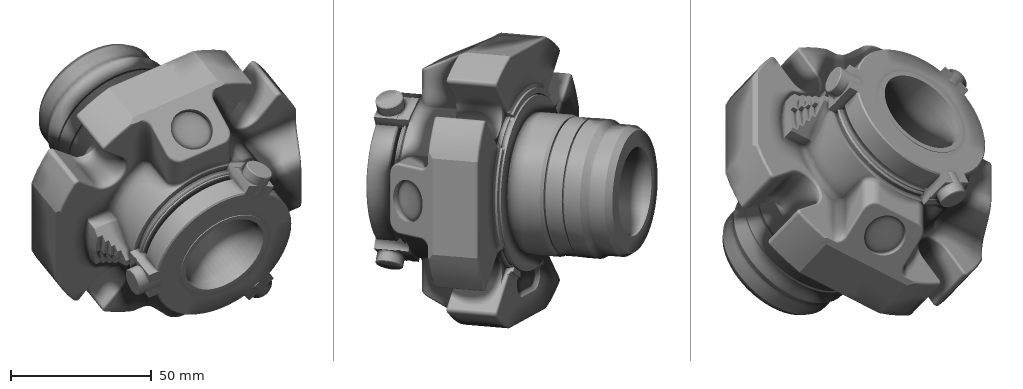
import cadquery as cq
import math

total_length = 92.0
bore_diameter = 32.0

edge_margin = 0.5

stem_tip_radius = 22.0
stem_tip_chamfer = 2.4
stem_nose_diameter = 47.07
stem_land_diameter_1 = 49.81
stem_land_diameter_2 = 49.61
stem_root_diameter = 50.75
stem_groove_diameter = 47.73
nose_end_x = 8.6
land_start_x = 9.4
land_full_x = 11.2
groove_1_x = 17.4
groove_2_x = 24.4
groove_width = 0.8
root_chamfer_length = 1.2

flange_front_x = 40.6
flange_back_x = 60.0
side_count = 4
across_flats = 99.06
flat_half_width = 17.5
flange_edge_radius = 0.9
flange_tip_radius = 1.5
back_slope_angle = 25.0
back_slope_start_x = 57.9

slot_count = 4
first_slot_angle = 45
slot_width = 14.2
slot_bottom_radius = 33.33
slot_relief_depth = 1.7
slot_relief_radius = 32.65

disk_diameter = 63.0
disk_front_x = 38.8
disk_gap = 0.5
ring_radius = 34.0
ring_base_radius = 35.2
ring_front_x = 39.3
ring_step_x = 40.1
recess_half_width = 10.2
recess_bottom_radius = 39.4
recess_corner_radius = 4.4
recess_depth = 1.7
recess_chamfer = 1.0
flare_angle = 45
recess_floor_fillet = 0.7

body_diameter = 60.15
body_end_x = 78.4
body_stock_x = 82.0
body_fillet_radius = 2.2

boss_half_width = 12.9
boss_end_x = 77.8
boss_corner_radius = 4.6
boss_root_radius = 3.2
boss_edge_radius = 0.9
boss_foot_fillet = 1.0
boss_angles = (0, 180, 270)
boss_base_z = 20.0
port_diameter = 15.34
port_center_x = 69.3
port_depth = 2.75

arrow_angle = 90
arrow_half_width = 9.0
arrow_shoulder_x = 64.9
arrow_tip_half_width = 1.2
arrow_base_radius = 25.0
arrow_foot_fillet = 1.3
arrow_levels = (38.7, 36.65, 35.1, 33.75, 32.3)
arrow_step_ends = (65.95, 67.65, 69.9, 71.9, 74.1)

drive_ring_diameter = 56.16
snap_ring_diameter = 57.68
snap_ring_start_x = 79.7
snap_ring_end_x = 80.8
snap_ring_chamfer = 0.4
collar_end_x = 81.4
neck_radius = 16.3
drive_ring_start_x = 83.0
drive_ring_end_x = 91.7
drive_ring_chamfer = 0.5
sleeve_diameter = 35.76

clip_count = 3
clip_width = 11.7
clip_inner_radius = 26.5
clip_outer_radius = 31.0
clip_cap_diameter = 10.0
clip_cap_radius = 35.0
clip_cap_chamfer = 0.3
clip_groove_depth = 0.2

flat_distance = across_flats / 2
body_radius = body_diameter / 2
corner_radius = math.hypot(flat_distance, flat_half_width)
slot_center_radius = slot_bottom_radius + slot_width / 2
slot_angles = [first_slot_angle + index * 360 / slot_count for index in range(slot_count)]
slot_floor_x = flange_front_x + slot_relief_depth
slope = math.tan(math.radians(back_slope_angle))


def cylinder(diameter, start_x, end_x):
    """Cylinder on the part axis."""
    return cq.Workplane("YZ", origin=(start_x, 0, 0)).circle(diameter / 2).extrude(end_x - start_x)


def about_axis(shape, angle):
    """Turn a shape about the part axis."""
    return shape.rotate((0, 0, 0), (1, 0, 0), angle)


def make_stem():
    """Stepped stem with a chamfered tip and two narrow grooves."""
    root_radius = stem_root_diameter / 2
    groove_radius = stem_groove_diameter / 2
    nose_radius = stem_nose_diameter / 2
    land_1_radius = stem_land_diameter_1 / 2
    land_2_radius = stem_land_diameter_2 / 2
    root_start_x = groove_2_x + groove_width
    profile = [
        (0, 0),
        (0, stem_tip_radius),
        (stem_tip_chamfer, nose_radius),
        (nose_end_x, nose_radius),
        (land_start_x, groove_radius),
        (land_full_x, land_1_radius),
        (groove_1_x, land_1_radius),
        (groove_1_x, groove_radius),
        (groove_1_x + groove_width, groove_radius),
        (groove_1_x + groove_width, land_2_radius),
        (groove_2_x, land_2_radius),
        (groove_2_x, groove_radius),
        (root_start_x, groove_radius),
        (root_start_x, land_2_radius),
        (root_start_x + root_chamfer_length, root_radius),
        (flange_front_x, root_radius),
        (flange_front_x, 0),
    ]
    return cq.Workplane("XY").polyline(profile).close().revolve(360, (0, 0, 0), (1, 0, 0))


def slot_box(start_x, end_x, inner_radius):
    """Block of slot width that runs outward from a radius along +Y."""
    return cq.Workplane("XY").box(
        end_x - start_x, corner_radius, slot_width, centered=(False, False, True)
    ).translate((start_x, inner_radius, 0))


def cut_slots(shape):
    """Cut the round-bottomed bolt slots, their shallow front reliefs and the gaps in the raised ring."""
    bottom = cylinder(slot_width, disk_front_x, flange_back_x).translate((0, slot_center_radius, 0))
    slot = slot_box(disk_front_x, flange_back_x, slot_center_radius).union(bottom)
    relief = slot_box(disk_front_x, slot_floor_x, 0).cut(
        cylinder(2 * slot_relief_radius, disk_front_x, slot_floor_x)
    )
    ring_gap = slot_box(disk_front_x, flange_front_x, disk_diameter / 2)
    slot = slot.union(relief).union(ring_gap)
    for angle in slot_angles:
        shape = shape.cut(about_axis(slot, angle))
    return shape


def slope_tool():
    """Region above the sloped plane that trims the +Z side behind the flange."""
    end_x = total_length
    return (
        cq.Workplane("XZ")
        .moveTo(back_slope_start_x, flat_distance)
        .lineTo(end_x, flat_distance - slope * (end_x - back_slope_start_x))
        .lineTo(end_x, corner_radius)
        .lineTo(back_slope_start_x, corner_radius)
        .close()
        .extrude(corner_radius, both=True)
    )


def make_flange():
    """Slotted flange with four flats, rounded tips and edges, and a sloped back rim."""
    thickness = flange_back_x - flange_front_x
    flange = cylinder(2 * corner_radius, flange_front_x, flange_back_x)
    flange = flange.intersect(
        cq.Workplane("XY")
        .box(thickness, across_flats, across_flats, centered=(False, True, True))
        .translate((flange_front_x, 0, 0))
    )
    flange = cut_slots(flange)
    tip_reach = math.sqrt(corner_radius**2 - (slot_width / 2) ** 2)
    tip_middle_x = (flange_front_x + flange_back_x) / 2
    for slot_angle in slot_angles:
        angle = math.radians(slot_angle)
        for side in (-1, 1):
            half = side * slot_width / 2
            y = tip_reach * math.cos(angle) - half * math.sin(angle)
            z = tip_reach * math.sin(angle) + half * math.cos(angle)
            nearest_edge = cq.selectors.NearestToPointSelector((tip_middle_x, y, z))
            flange = flange.edges(nearest_edge).fillet(flange_tip_radius)
    flange = flange.faces("<X or >X").edges().fillet(flange_edge_radius)
    for side in range(side_count):
        flange = flange.cut(about_axis(slope_tool(), side * 360 / side_count))
    return flange


def make_front_ring():
    """Low ring on the flange front, flared at its base."""
    profile = [
        (ring_front_x, 0),
        (ring_front_x, ring_radius),
        (ring_step_x, ring_radius),
        (flange_front_x, ring_base_radius),
        (slot_floor_x, ring_base_radius),
        (slot_floor_x, 0),
    ]
    return cq.Workplane("XY").polyline(profile).close().revolve(360, (0, 0, 0), (1, 0, 0))


def recess_section(start_x, growth):
    """Rounded section of the flush recess, grown outward by the given amount."""
    outline = (
        cq.Sketch()
        .rect(2 * (recess_half_width + growth), 2 * (recess_bottom_radius + growth))
        .vertices()
        .fillet(recess_corner_radius + growth)
    )
    return cq.Workplane("YZ", origin=(start_x, 0, 0)).placeSketch(outline)


def make_flush_recess():
    """U-shaped pocket with a flared mouth, below the disk on the -Z side."""
    floor_x = flange_front_x + recess_depth
    pocket = recess_section(ring_front_x, 0).extrude(floor_x - ring_front_x)
    pocket = pocket.faces(">X").edges().fillet(recess_floor_fillet)
    flare = recess_section(flange_front_x, recess_chamfer).extrude(recess_chamfer, taper=flare_angle)
    mouth = recess_section(ring_front_x, recess_chamfer).extrude(flange_front_x - ring_front_x)
    lower_half = cq.Workplane("XY").box(
        total_length, across_flats, across_flats, centered=(False, True, False)
    ).translate((0, 0, -across_flats))
    return pocket.union(flare).union(mouth).intersect(lower_half)


def make_body():
    """Round body with a root fillet; longer than its final length until the feet are filleted."""
    body = cylinder(body_diameter, flange_front_x, body_stock_x)
    r = body_fillet_radius
    inside_radius = body_radius - r
    root = (
        cq.Workplane("XY")
        .moveTo(flange_back_x, inside_radius)
        .lineTo(flange_back_x, body_radius + r)
        .radiusArc((flange_back_x + r, body_radius), -r)
        .lineTo(flange_back_x + r, inside_radius)
        .close()
        .revolve(360, (0, 0, 0), (1, 0, 0))
    )
    return body.union(root)


def make_boss():
    """Port boss on the +Z side, with a sloped top, rounded rim and rounded far corners."""
    w = boss_half_width
    r = boss_root_radius
    c = boss_corner_radius
    root_x = flange_back_x
    inside_x = back_slope_start_x
    boss = (
        cq.Workplane("XY", origin=(0, 0, boss_base_z))
        .moveTo(inside_x, -w - r)
        .lineTo(root_x, -w - r)
        .radiusArc((root_x + r, -w), r)
        .lineTo(boss_end_x - c, -w)
        .radiusArc((boss_end_x, -w + c), -c)
        .lineTo(boss_end_x, w - c)
        .radiusArc((boss_end_x - c, w), -c)
        .lineTo(root_x + r, w)
        .radiusArc((root_x, w + r), r)
        .lineTo(inside_x, w + r)
        .close()
        .extrude(flat_distance - boss_base_z)
    )
    boss = boss.cut(slope_tool())
    rim_zone = cq.selectors.BoxSelector(
        (root_x + r, -w - edge_margin, body_radius),
        (boss_end_x + edge_margin, w + edge_margin, flat_distance),
    )
    rim = boss.edges(rim_zone).edges("not |Z")
    return rim.fillet(boss_edge_radius)


def make_port():
    """Blind port drilled normal to the sloped top of the +Z boss."""
    center_z = flat_distance - slope * (port_center_x - back_slope_start_x)
    tilt = math.radians(back_slope_angle)
    port_axis = cq.Vector(math.sin(tilt), 0, math.cos(tilt))
    start = cq.Vector(port_center_x, 0, center_z) - port_axis * port_depth
    return cq.Workplane(cq.Solid.makeCylinder(port_diameter / 2, 2 * port_depth, start, port_axis))


def make_terraces(step_ends):
    """Stack of coaxial cylinders that get smaller towards +X, one per arrow level."""
    terraces = cylinder(2 * arrow_levels[-1], flange_front_x, boss_end_x)
    for radius, end_x in zip(arrow_levels, step_ends):
        terraces = terraces.union(cylinder(2 * radius, flange_front_x, end_x))
    return terraces


def make_arrow_block():
    """Arrow-shaped block on the -Y side; the steps of its two halves are one step apart."""
    start_x = back_slope_start_x
    outline = [
        (start_x, -arrow_half_width),
        (arrow_shoulder_x, -arrow_half_width),
        (boss_end_x, -arrow_tip_half_width),
        (boss_end_x, arrow_tip_half_width),
        (arrow_shoulder_x, arrow_half_width),
        (start_x, arrow_half_width),
    ]
    prism = (
        cq.Workplane("XZ", origin=(0, -arrow_base_radius, 0))
        .polyline(outline)
        .close()
        .extrude(corner_radius - arrow_base_radius)
    )
    upper_space = cq.Workplane("XY").box(
        total_length, across_flats, across_flats, centered=(False, True, False)
    )
    upper_half = prism.intersect(upper_space).intersect(make_terraces(arrow_step_ends[1:]))
    lower_half = prism.cut(upper_space).intersect(make_terraces(arrow_step_ends[:-1]))
    return upper_half.union(lower_half)


def make_rear_rings():
    """Collar, snap ring, neck, drive ring and sleeve end behind the body."""
    collar = cylinder(drive_ring_diameter, body_end_x, collar_end_x)
    snap_ring = cylinder(snap_ring_diameter, snap_ring_start_x, snap_ring_end_x)
    snap_ring = snap_ring.faces("<X or >X").edges().chamfer(snap_ring_chamfer)
    neck = cylinder(2 * neck_radius, body_end_x, drive_ring_end_x)
    drive_ring = cylinder(drive_ring_diameter, drive_ring_start_x, drive_ring_end_x)
    drive_ring = drive_ring.faces("<X or >X").edges().chamfer(drive_ring_chamfer)
    sleeve = cylinder(sleeve_diameter, drive_ring_start_x, total_length)
    return collar.union(snap_ring).union(neck).union(drive_ring).union(sleeve)


def make_clip():
    """Clip on the -Y side: a flat plate with a round screw cap."""
    plate = cq.Workplane("XY").box(
        drive_ring_end_x - body_end_x,
        clip_outer_radius - clip_inner_radius,
        clip_width,
        centered=(False, False, True),
    ).translate((body_end_x, -clip_outer_radius, 0))
    groove = cq.Workplane("XY").box(
        drive_ring_start_x - collar_end_x, clip_groove_depth, clip_width, centered=(False, False, True)
    ).translate((collar_end_x, -clip_outer_radius, 0))
    cap_x = total_length - clip_cap_diameter / 2
    cap = (
        cq.Workplane("XZ", origin=(cap_x, -clip_inner_radius, 0))
        .circle(clip_cap_diameter / 2)
        .extrude(clip_cap_radius - clip_inner_radius)
        .faces("<Y")
        .chamfer(clip_cap_chamfer)
    )
    return plate.cut(groove).union(cap)


def fillet_feet(shape, half_width, start_x, radius):
    """Fillet the edges where a feature on the +Z side meets the round body."""
    foot_zone = cq.selectors.BoxSelector(
        (start_x, -half_width - edge_margin, arrow_base_radius),
        (boss_end_x + edge_margin, half_width + edge_margin, body_radius + edge_margin),
    )
    return shape.edges(foot_zone).fillet(radius)


def make_outer_housing():
    """Flange and body with the bosses and the arrow block blended in."""
    housing = make_flange().union(make_body()).union(make_arrow_block())
    for angle in boss_angles:
        housing = housing.union(about_axis(make_boss(), angle))
    foot_start_x = flange_back_x + body_fillet_radius
    for angle in boss_angles:
        turned = about_axis(housing, -angle)
        turned = fillet_feet(turned, boss_half_width, foot_start_x, boss_foot_fillet)
        housing = about_axis(turned, angle)
    turned = about_axis(housing, -arrow_angle)
    turned = fillet_feet(turned, arrow_half_width, flange_back_x + edge_margin, arrow_foot_fillet)
    housing = about_axis(turned, arrow_angle)
    return housing.cut(cylinder(2 * corner_radius, body_end_x, total_length))


result = make_outer_housing().union(make_front_ring())
result = cut_slots(result).cut(make_flush_recess())
result = result.cut(cylinder(disk_diameter + 2 * disk_gap, disk_front_x, slot_floor_x))
result = result.union(cylinder(disk_diameter, disk_front_x, flange_back_x)).union(make_stem())
for angle in boss_angles:
    result = result.cut(about_axis(make_port(), angle))
result = result.union(make_rear_rings())
for index in range(clip_count):
    result = result.union(about_axis(make_clip(), index * 360 / clip_count))
result = result.cut(cylinder(bore_diameter, 0, total_length))